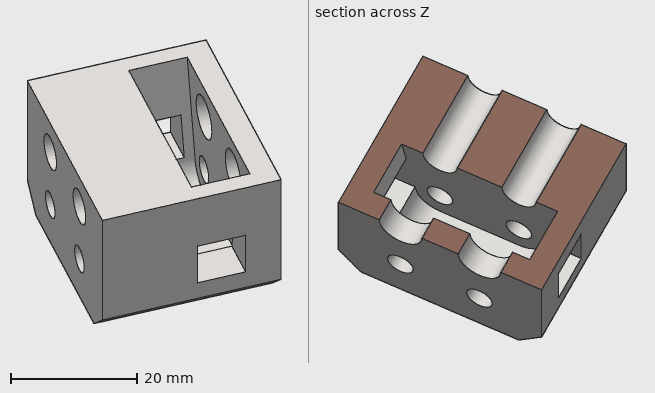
import cadquery as cq
import math

length = 36.0
depth = 30.0
height = 24.8
chamfer = 4.05

pocket_length = 30.0
pocket_front = 16.0
pocket_back = depth - 4.2
pocket_floor = 3.0
pocket_corner_radius = 4.32
end_wall_angle = 11.6

window_width = 8.03
window_height = 7.65
window_top = height - 9.9

hole_spacing = 13.95
upper_hole_diameter = 6.0
rear_hole_diameter = 7.5
upper_hole_z = height - 6.0
lower_hole_diameter = 4.55
lower_hole_z = height - 16.95


def make_block():
    block = cq.Workplane("XY").box(length, depth, height, centered=(True, False, False))
    return block.edges("|Y and <Z").chamfer(chamfer)


def make_pocket():
    pocket_depth = height - pocket_floor
    end_inset = pocket_depth * math.tan(math.radians(end_wall_angle))
    half_top = pocket_length / 2
    half_floor = half_top - end_inset
    outline = [
        (-half_top, height),
        (-half_floor, pocket_floor),
        (half_floor, pocket_floor),
        (half_top, height),
    ]
    pocket = (
        cq.Workplane("XZ", origin=(0, pocket_front, 0))
        .polyline(outline)
        .close()
        .extrude(pocket_front - pocket_back)
    )
    return pocket.edges("|Y and <Z").fillet(pocket_corner_radius)


def make_window():
    return (
        cq.Workplane("XY", origin=(0, pocket_front, window_top - window_height))
        .box(length, window_width, window_height, centered=(True, False, False))
    )


def make_hole_pair(diameter, z, start=0.0):
    centres = [(-hole_spacing / 2, z), (hole_spacing / 2, z)]
    return (
        cq.Workplane("XZ", origin=(0, start, 0))
        .pushPoints(centres)
        .circle(diameter / 2)
        .extrude(start - depth)
    )


result = (
    make_block()
    .cut(make_pocket())
    .cut(make_window())
    .cut(make_hole_pair(upper_hole_diameter, upper_hole_z))
    .cut(make_hole_pair(rear_hole_diameter, upper_hole_z, start=pocket_back))
    .cut(make_hole_pair(lower_hole_diameter, lower_hole_z))
)